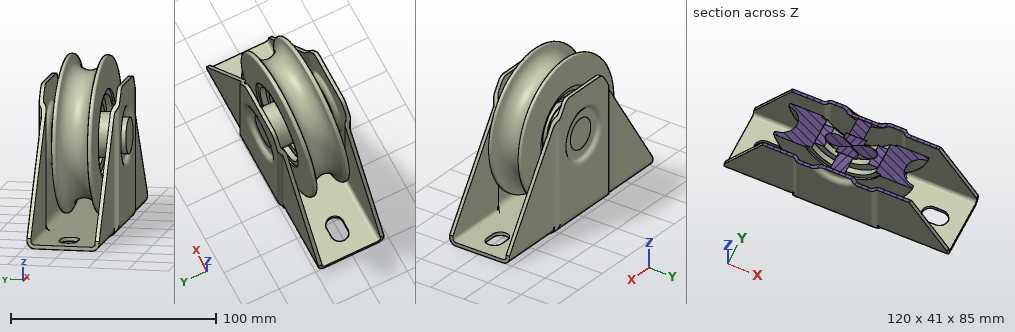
import cadquery as cq
import math

LENGTH = 120.0
SHEET = 6 / 3
WING_HALF_WIDTH = 18.0
JOGGLE = SHEET
INNER_BEND = SHEET
BRACKET_HEIGHT = 73.0
END_HEIGHT = 5.0
EDGE_SLOPE = 1.5
TOP_CORNER_RADIUS = 5.0
BULGE_HALF_LENGTH = 20.4
JOGGLE_CONVEX_RADIUS = 1.5
JOGGLE_CONCAVE_RADIUS = 2.3
SLOT_LENGTH = 14.0
SLOT_WIDTH = 9.0
SLOT_X = 45.0

AXLE_Z = 46.0
DIMPLE_RADIUS = 16.5
DIMPLE_FLOOR_RADIUS = 12.2
DIMPLE_DEPTH = 2.4
DIMPLE_RIM_BEND = 3.2

WHEEL_RADIUS = 39.0
WHEEL_HALF_WIDTH = 30 / 3
GROOVE_RADIUS = 7.8
RIM_FILLET = 0.7
RECESS_RADIUS = 22.5
RECESS_DEPTH = 1.0

PIN_RADIUS = 8.5
HEAD_RADIUS = 9.0
HEAD_PROJECTION = 1.0
BEARING_RADIUS = 40.0 / 2
BEARING_HALF_WIDTH = 6.0
OUTER_RACE_BORE_RADIUS = 15.8
INNER_RACE_RADIUS = 11.94
BALL_RADIUS = 3.4
SPACER_RADIUS = 11.3

BULGE_HALF_WIDTH = WING_HALF_WIDTH + JOGGLE
FLOOR_EDGE_Y = WING_HALF_WIDTH - SHEET - INNER_BEND
DIMPLE_FLOOR_Y = BULGE_HALF_WIDTH - DIMPLE_DEPTH
DIMPLE_BACK_Y = DIMPLE_FLOOR_Y - SHEET


def ring_about_axle(outer_radius, inner_radius, y_start, y_end):
    """A ring, or a plain cylinder if the inner radius is zero, on the axle line."""
    outline = cq.Workplane("XZ", origin=(0, y_start, AXLE_Z)).circle(outer_radius)
    if inner_radius > 0:
        outline = outline.circle(inner_radius)
    return outline.extrude(y_start - y_end)


def torus_about_axle(ring_radius, tube_radius):
    centre = cq.Vector(0, 0, AXLE_Z)
    return cq.Workplane(cq.Solid.makeTorus(ring_radius, tube_radius, centre, cq.Vector(0, 1, 0)))


def mirrored_pair(body):
    return [body, body.mirror("XZ")]


def rounded_trough(half_width, height):
    """A block whose two long bottom edges are rounded down to the flat floor."""
    return (
        cq.Workplane("XY")
        .box(LENGTH, 2 * half_width, height, centered=(True, True, False))
        .edges("|X and <Z")
        .fillet(half_width - FLOOR_EDGE_Y)
    )


def joggle_foot_wedges(foot_x, foot_y, height):
    """Four fillers that round the hollow corners where the joggle starts from the wings."""
    tangent = JOGGLE_CONCAVE_RADIUS * math.tan(math.pi / 8)
    diagonal = tangent * math.sqrt(0.5)
    wedge = (
        cq.Workplane("XY")
        .moveTo(foot_x, foot_y)
        .lineTo(foot_x + tangent, foot_y)
        .radiusArc((foot_x - diagonal, foot_y + diagonal), JOGGLE_CONCAVE_RADIUS)
        .close()
        .extrude(height)
    )
    right_wedges = mirrored_pair(wedge)
    return right_wedges + [right_wedge.mirror("YZ") for right_wedge in right_wedges]


def channel_block(inset):
    """The channel's filled shape, with its floor and side faces moved inward by the inset."""
    height = BRACKET_HEIGHT - inset
    wing_half_width = WING_HALF_WIDTH - inset
    bulge_half_width = BULGE_HALF_WIDTH - inset
    bulge_half_length = BULGE_HALF_LENGTH + inset - inset * math.sqrt(2)
    middle_half_length = bulge_half_length + bulge_half_width
    bulge_plan = (
        cq.Workplane("XY")
        .polyline(
            [
                (-middle_half_length, 0),
                (-bulge_half_length, bulge_half_width),
                (bulge_half_length, bulge_half_width),
                (middle_half_length, 0),
                (bulge_half_length, -bulge_half_width),
                (-bulge_half_length, -bulge_half_width),
            ]
        )
        .close()
        .extrude(height)
        .edges("|Z and (>Y or <Y)")
        .fillet(JOGGLE_CONVEX_RADIUS)
    )
    bulge_trough = rounded_trough(bulge_half_width, height)
    block = rounded_trough(wing_half_width, height).union(bulge_trough.intersect(bulge_plan))
    for wedge in joggle_foot_wedges(bulge_half_length + JOGGLE, wing_half_width, height):
        block = block.union(wedge.intersect(bulge_trough))
    return block.translate((0, 0, inset))


def side_outline():
    """The sloping outline of the side plates, as a block across the whole width."""
    top_half_length = LENGTH / 2 - (BRACKET_HEIGHT - END_HEIGHT) / EDGE_SLOPE
    return (
        cq.Workplane("XZ")
        .polyline(
            [
                (-LENGTH / 2, 0),
                (-LENGTH / 2, END_HEIGHT),
                (-top_half_length, BRACKET_HEIGHT),
                (top_half_length, BRACKET_HEIGHT),
                (LENGTH / 2, END_HEIGHT),
                (LENGTH / 2, 0),
            ]
        )
        .close()
        .extrude(BULGE_HALF_WIDTH, both=True)
        .edges("|Y and >Z")
        .fillet(TOP_CORNER_RADIUS)
    )


def dimple():
    """S-shaped dish pressed into the -Y side plate, turned about the axle line."""
    run = DIMPLE_RADIUS - DIMPLE_FLOOR_RADIUS
    steepest = 2 * math.atan2(DIMPLE_DEPTH, run)
    floor_bend = run / math.sin(steepest) - DIMPLE_RIM_BEND

    def rim_point(depth_in_sheet, angle):
        bend = DIMPLE_RIM_BEND - depth_in_sheet
        return (
            DIMPLE_RADIUS - bend * math.sin(angle),
            -BULGE_HALF_WIDTH + DIMPLE_RIM_BEND - bend * math.cos(angle),
        )

    def floor_point(depth_in_sheet, angle):
        bend = floor_bend + depth_in_sheet
        return (
            DIMPLE_FLOOR_RADIUS + bend * math.sin(angle),
            -DIMPLE_FLOOR_Y - floor_bend + bend * math.cos(angle),
        )

    return (
        cq.Workplane("XY")
        .moveTo(0, -DIMPLE_FLOOR_Y)
        .lineTo(*floor_point(0, 0))
        .threePointArc(floor_point(0, steepest / 2), floor_point(0, steepest))
        .threePointArc(rim_point(0, steepest / 2), rim_point(0, 0))
        .lineTo(*rim_point(SHEET, 0))
        .threePointArc(rim_point(SHEET, steepest / 2), rim_point(SHEET, steepest))
        .threePointArc(floor_point(SHEET, steepest / 2), floor_point(SHEET, 0))
        .lineTo(0, -DIMPLE_BACK_Y)
        .close()
        .revolve(360, (0, 0, 0), (0, 1, 0))
        .translate((0, 0, AXLE_Z))
    )


def make_bracket():
    bracket = channel_block(0).cut(channel_block(SHEET)).intersect(side_outline())
    bracket = bracket.cut(ring_about_axle(DIMPLE_RADIUS, 0, -BULGE_HALF_WIDTH, BULGE_HALF_WIDTH))
    for dish in mirrored_pair(dimple()):
        bracket = bracket.union(dish)
    bracket = bracket.cut(ring_about_axle(PIN_RADIUS, 0, -BULGE_HALF_WIDTH, BULGE_HALF_WIDTH))
    slots = (
        cq.Workplane("XY")
        .pushPoints([(-SLOT_X, 0), (SLOT_X, 0)])
        .slot2D(SLOT_LENGTH, SLOT_WIDTH)
        .extrude(SHEET)
    )
    return bracket.cut(slots)


def make_wheel():
    """Grooved wheel with a shallow recess round the bearing on each face."""
    wheel = ring_about_axle(WHEEL_RADIUS, BEARING_RADIUS, -WHEEL_HALF_WIDTH, WHEEL_HALF_WIDTH)
    wheel = wheel.cut(torus_about_axle(WHEEL_RADIUS, GROOVE_RADIUS))
    wheel = wheel.edges(cq.selectors.RadiusNthSelector(-1)).fillet(RIM_FILLET)
    recess_floor_y = WHEEL_HALF_WIDTH - RECESS_DEPTH
    recess = ring_about_axle(RECESS_RADIUS, 0, -WHEEL_HALF_WIDTH, -recess_floor_y)
    for face_recess in mirrored_pair(recess):
        wheel = wheel.cut(face_recess)
    return wheel


def make_ball_row():
    """The row of balls as one closed ring."""
    return torus_about_axle((OUTER_RACE_BORE_RADIUS + INNER_RACE_RADIUS) / 2, BALL_RADIUS)


def make_bearing_race(outer_radius, inner_radius):
    """One bearing ring, with a raceway that the ball row fits."""
    race = ring_about_axle(outer_radius, inner_radius, -BEARING_HALF_WIDTH, BEARING_HALF_WIDTH)
    return race.cut(make_ball_row())


def make_axle():
    """Pin through both side plates, with a head on the -Y dimple floor."""
    shaft = ring_about_axle(PIN_RADIUS, 0, -DIMPLE_FLOOR_Y, DIMPLE_FLOOR_Y)
    head_y = BULGE_HALF_WIDTH + HEAD_PROJECTION
    head = ring_about_axle(HEAD_RADIUS, 0, -head_y, -DIMPLE_FLOOR_Y)
    return shaft.union(head)


def make_spacers():
    """Two sleeves between the bearing and the side plates."""
    return mirrored_pair(
        ring_about_axle(SPACER_RADIUS, PIN_RADIUS, -DIMPLE_BACK_Y, -BEARING_HALF_WIDTH)
    )


bracket = make_bracket()
wheel = make_wheel()
axle = make_axle()
outer_race = make_bearing_race(BEARING_RADIUS, OUTER_RACE_BORE_RADIUS)
inner_race = make_bearing_race(INNER_RACE_RADIUS, PIN_RADIUS)
ball_row = make_ball_row()
spacers = make_spacers()

result = cq.Compound.makeCompound(
    [
        bracket.val(),
        wheel.val(),
        axle.val(),
        outer_race.val(),
        inner_race.val(),
        ball_row.val(),
        *[spacer.val() for spacer in spacers],
    ]
)